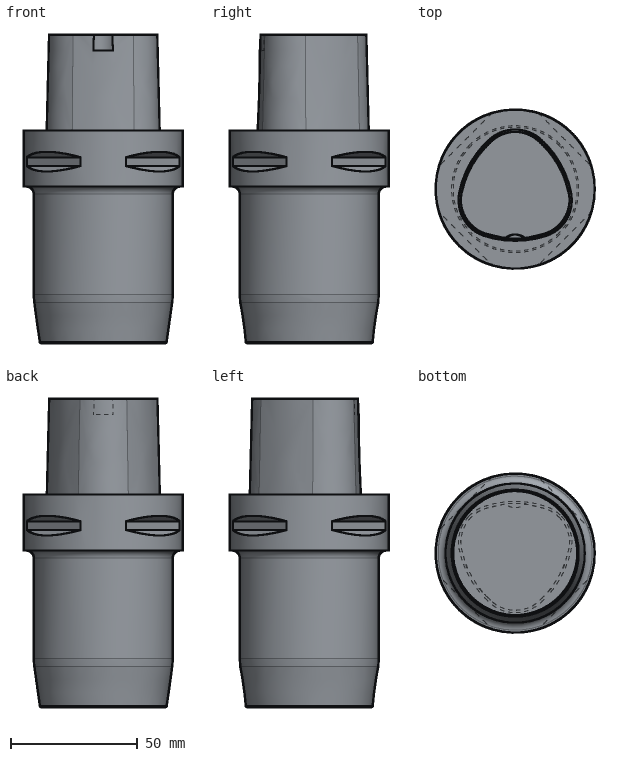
import cadquery as cq
import math

total_height = 122.0
flange_top = 84.2
flange_bottom = 62.0

flange_diameter = 63.0
body_diameter = 55.0
neck_fillet = 2.9
nose_angle = math.radians(8)
nose_blend_top = 19.3
nose_blend_height = 3.0
nose_chamfer = 0.6

lobe_reach = 23.5
flat_reach = 20.44
lobe_radius = 14.9
shank_taper = 1 / 40

key_radius = 5.6
key_floor_reach = 17.9
key_height = 6.3

notch_count = 4
notch_center_height = 71.9
notch_floor_width = 3.4
notch_floor_distance = 27.7
notch_wall_angle = math.radians(30)

flange_radius = flange_diameter / 2
body_radius = body_diameter / 2


def polar(radius, angle):
    """Point at an angle in degrees."""
    return radius * math.cos(math.radians(angle)), radius * math.sin(math.radians(angle))


def make_body():
    """Flange, body and conical nose turned as one profile."""
    blend_radius = nose_blend_height / math.sin(nose_angle)
    cone_top = nose_blend_top - nose_blend_height
    cone_top_radius = body_radius - blend_radius * (1 - math.cos(nose_angle))
    blend_middle = (
        body_radius - blend_radius * (1 - math.cos(nose_angle / 2)),
        nose_blend_top - blend_radius * math.sin(nose_angle / 2),
    )
    nose_radius = cone_top_radius - (cone_top - nose_chamfer) * math.tan(nose_angle)
    fillet_center = (body_radius + neck_fillet, flange_bottom - neck_fillet)
    fillet_offset = neck_fillet * math.sqrt(0.5)
    return (
        cq.Workplane("XZ")
        .moveTo(0, 0)
        .lineTo(nose_radius - nose_chamfer, 0)
        .lineTo(nose_radius, nose_chamfer)
        .lineTo(cone_top_radius, cone_top)
        .threePointArc(blend_middle, (body_radius, nose_blend_top))
        .lineTo(body_radius, fillet_center[1])
        .threePointArc(
            (fillet_center[0] - fillet_offset, fillet_center[1] + fillet_offset),
            (fillet_center[0], flange_bottom),
        )
        .lineTo(flange_radius, flange_bottom)
        .lineTo(flange_radius, flange_top)
        .lineTo(0, flange_top)
        .close()
        .revolve(360, (0, 0), (0, 1))
    )


def shank_wire(height, inset):
    """Three lobe arcs joined tangentially by three flatter arcs, moved inward by the inset."""
    lobe_center = lobe_reach - lobe_radius
    flat_gap = flat_reach - lobe_radius
    flat_center = (lobe_center**2 - flat_gap**2) / (2 * flat_gap - lobe_center)
    join_x = lobe_center * math.cos(math.radians(30))
    join_y = lobe_center / 2 + flat_center
    flat_half_angle = math.degrees(math.atan2(join_x, join_y))
    flat_radius = flat_reach + flat_center - inset

    end_x, end_y = polar(flat_radius, flat_half_angle - 90)
    end_y += flat_center
    join_radius = math.hypot(end_x, end_y)
    join_angle = math.degrees(math.atan2(end_y, end_x)) + 90

    edges = []
    for flat_angle in (-90, 30, 150):
        flat_start = cq.Vector(*polar(join_radius, flat_angle - join_angle), height)
        flat_middle = cq.Vector(*polar(flat_reach - inset, flat_angle), height)
        lobe_start = cq.Vector(*polar(join_radius, flat_angle + join_angle), height)
        lobe_middle = cq.Vector(*polar(lobe_reach - inset, flat_angle + 60), height)
        lobe_end = cq.Vector(*polar(join_radius, flat_angle + 120 - join_angle), height)
        edges.append(cq.Edge.makeThreePointArc(flat_start, flat_middle, lobe_start))
        edges.append(cq.Edge.makeThreePointArc(lobe_start, lobe_middle, lobe_end))
    return cq.Wire.assembleEdges(edges)


def make_shank():
    top_inset = (total_height - flange_top) * shank_taper
    base = shank_wire(flange_top, 0)
    top = shank_wire(total_height, top_inset)
    return cq.Workplane(cq.Solid.makeLoft([base, top], True))


def make_key_notch():
    """Round-backed notch cut into the -Y side of the shank."""
    return (
        cq.Workplane("XY", origin=(0, 0, total_height - key_height))
        .center(0, -key_floor_reach - key_radius)
        .circle(key_radius)
        .extrude(key_height)
    )


def make_gripper_notch(angle):
    """Straight groove with a flat floor and flared walls, crossing the rim at the angle."""
    depth = flange_radius - notch_floor_distance
    half_floor = notch_floor_width / 2
    half_mouth = half_floor + depth * math.tan(notch_wall_angle)
    return (
        cq.Workplane("XZ", origin=(0, 0, notch_center_height))
        .polyline([
            (notch_floor_distance, -half_floor),
            (flange_radius, -half_mouth),
            (flange_radius, half_mouth),
            (notch_floor_distance, half_floor),
        ])
        .close()
        .extrude(flange_radius, both=True)
        .rotate((0, 0, 0), (0, 0, 1), angle)
    )


result = make_body().union(make_shank()).cut(make_key_notch())
notch_spacing = 360 / notch_count
for index in range(notch_count):
    result = result.cut(make_gripper_notch((index + 0.5) * notch_spacing))